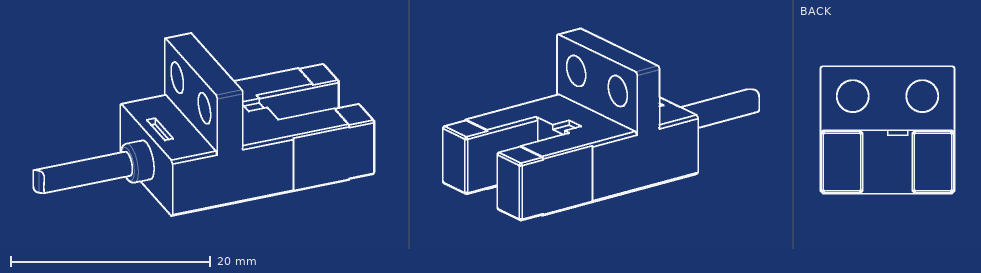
import cadquery as cq
total_length = 34.25
body_width = 13.5
body_length = 22.23
body_height = 6.4
total_height = 12.85
edge_chamfer = 0.3

fork_start = 13.22
fork_gap = 5.0
arm_side_step = 0.1
tip_length = 2.88
tip_step = 0.1
tip_chamfer = edge_chamfer - tip_step

flange_start = 4.85
flange_thickness = 2.8
flange_fillet = 0.3
hole_diameter = 3.2
hole_spacing = 7.0
hole_below_top = 3.0

slot_length = 4.65
slot_width = 0.92
slot_start = 1.03
slot_depth = 0.7
window_size = 2.05
window_depth = 0.5

gland_diameter = 4.0
gland_length = 2.05
gland_fillet = 0.3
cable_diameter = 2.5
cable_wave = 0.27
cable_z = body_height / 2


def block(x_min, x_max, y_min, y_max, z_min, z_max):
    """Axis-aligned box given by its limits."""
    size = (x_max - x_min, y_max - y_min, z_max - z_min)
    return cq.Workplane("XY").box(*size, centered=False).translate((x_min, y_min, z_min))


def make_rear_body():
    """Solid block behind the fork, with its four long edges chamfered."""
    rear = block(-body_width / 2, body_width / 2, 0, fork_start, 0, body_height)
    return rear.edges("|Y").chamfer(edge_chamfer)


def make_right_arm():
    """Fork arm on the +X side, with a thinner tip chamfered all round its end."""
    x_min = fork_gap / 2
    x_max = body_width / 2 - arm_side_step
    tip_start = body_length - tip_length

    shank = block(x_min, x_max, fork_start, tip_start, 0, body_height)
    shank = shank.edges("|Y and <X").chamfer(edge_chamfer)
    shank = shank.edges("|Y and >X").chamfer(edge_chamfer - arm_side_step)

    tip = block(x_min, x_max, tip_start, body_length, tip_step, body_height - tip_step)
    tip = tip.edges("|Y").chamfer(tip_chamfer)
    tip = tip.faces(">Y").chamfer(tip_chamfer)
    return shank.union(tip)


def make_flange():
    """Upright plate across the body with two mounting holes."""
    flange = block(
        -body_width / 2, body_width / 2,
        flange_start, flange_start + flange_thickness,
        cable_z, total_height,
    )
    flange = flange.edges("|Y and >Z").fillet(flange_fillet)
    holes = (
        cq.Workplane("XZ", origin=(0, flange_start + flange_thickness, total_height - hole_below_top))
        .pushPoints([(-hole_spacing / 2, 0), (hole_spacing / 2, 0)])
        .circle(hole_diameter / 2)
        .extrude(flange_thickness)
    )
    return flange.cut(holes)


def make_gland():
    """Round collar where the cable leaves the body."""
    gland = cq.Workplane("XZ", origin=(0, 0, cable_z)).circle(gland_diameter / 2).extrude(gland_length)
    return gland.faces("<Y").edges().fillet(gland_fillet)


def make_cable():
    """Cable stub whose free end is broken off along an S-shaped wave."""
    radius = cable_diameter / 2
    end_y = body_length - total_length
    wave_y = end_y + cable_wave
    rod = cq.Workplane("XZ", origin=(0, 0, cable_z)).circle(radius).extrude(-end_y)
    wave_outline = (
        cq.Workplane("XY")
        .moveTo(-radius, 0)
        .lineTo(-radius, wave_y)
        .threePointArc((-radius / 2, end_y), (0, wave_y))
        .threePointArc((radius / 2, wave_y + cable_wave), (radius, wave_y))
        .lineTo(radius, 0)
        .close()
        .extrude(body_height)
    )
    return rod.intersect(wave_outline)


right_arm = make_right_arm()
result = (
    make_rear_body()
    .union(right_arm)
    .union(right_arm.mirror("YZ"))
    .union(make_flange())
    .union(make_gland())
    .union(make_cable())
)

result = result.cut(
    block(
        -slot_length / 2, slot_length / 2,
        slot_start, slot_start + slot_width,
        body_height - slot_depth, body_height,
    )
)

result = result.cut(
    block(-window_size, 0, fork_start - window_size, fork_start, body_height - window_depth, body_height)
)